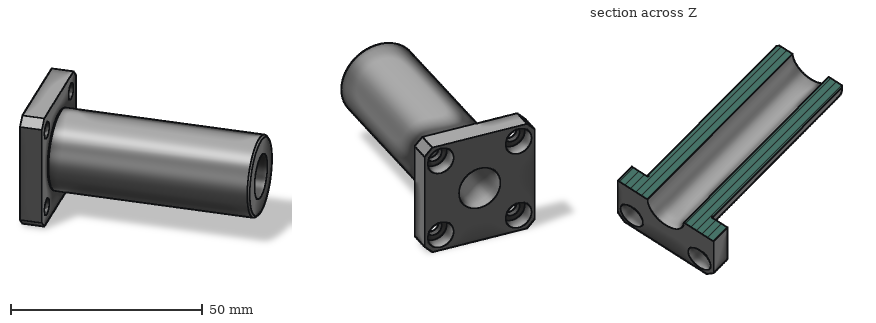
import cadquery as cq

total_length = 61.0
flange_side = 32.0
flange_thickness = 6.0
flange_corner_chamfer = 2.25

sleeve_diameter = 22.0
neck_diameter = 21.4
neck_length = 0.3
end_chamfer = 0.55
bore_diameter = 12.0

hole_spacing = 22.65
hole_diameter = 4.5
counterbore_diameter = 7.5
counterbore_depth = 4.1


def make_flange():
    """Square plate from x = 0 with its four corners cut off."""
    plate = cq.Workplane("YZ").rect(flange_side, flange_side).extrude(flange_thickness)
    return plate.edges("|X").chamfer(flange_corner_chamfer)


def make_sleeve():
    """Neck and sleeve behind the flange, chamfered at the free end."""
    sleeve_start = flange_thickness + neck_length
    neck = cq.Workplane("YZ").circle(neck_diameter / 2).extrude(sleeve_start)
    sleeve = (
        cq.Workplane("YZ", origin=(sleeve_start, 0, 0))
        .circle(sleeve_diameter / 2)
        .extrude(total_length - sleeve_start)
        .faces(">X")
        .chamfer(end_chamfer)
    )
    return neck.union(sleeve)


def make_bore():
    return cq.Workplane("YZ").circle(bore_diameter / 2).extrude(total_length)


def make_mounting_holes():
    """Through holes with counterbores sunk into the front face of the flange."""
    centres = cq.Workplane("YZ").rect(hole_spacing, hole_spacing, forConstruction=True).vertices()
    holes = centres.circle(hole_diameter / 2).extrude(flange_thickness)
    counterbores = centres.circle(counterbore_diameter / 2).extrude(counterbore_depth)
    return holes.union(counterbores)


result = make_flange().union(make_sleeve()).cut(make_bore()).cut(make_mounting_holes())